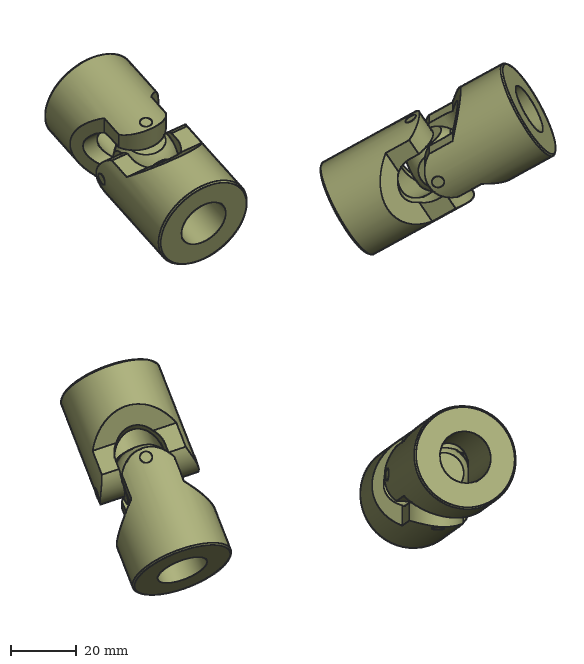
import cadquery as cq
import math

joint_length = 65.0
yoke_diameter = 32.0
yoke_radius = yoke_diameter / 2
end_chamfer = 0.5

bore_diameter = 16.0
bore_radius = bore_diameter / 2

arm_half_width = 8.5
arm_tip_reach = 3.15
arm_tip_radius = 9.6
arm_root_distance = 10.35
left_floor_distance = 15.0
right_floor_distance = 13.0
shoulder_angle = 45.0

ball_radius = 10.0
block_side = bore_diameter
pin_diameter = 3.75
pin_length = yoke_diameter


def arm_blank():
    """Yoke silhouette across the arm width, as a prism along Z."""
    back = -joint_length / 2
    slope_run = (yoke_radius - arm_half_width) / math.tan(math.radians(shoulder_angle))
    shoulder = -arm_root_distance - slope_run
    tip_centre = arm_tip_reach - arm_tip_radius
    tip_start = tip_centre + math.sqrt(arm_tip_radius**2 - arm_half_width**2)
    return (
        cq.Workplane("XY")
        .moveTo(back, -yoke_radius)
        .lineTo(shoulder, -yoke_radius)
        .lineTo(-arm_root_distance, -arm_half_width)
        .lineTo(tip_start, -arm_half_width)
        .threePointArc((arm_tip_reach, 0), (tip_start, arm_half_width))
        .lineTo(-arm_root_distance, arm_half_width)
        .lineTo(shoulder, yoke_radius)
        .lineTo(back, yoke_radius)
        .close()
        .extrude(yoke_radius, both=True)
    )


def fork_gap(floor_distance):
    """Round-bottomed gap between the arms, running right through along Y."""
    gap_centre = -floor_distance + bore_radius
    return (
        cq.Workplane("XZ")
        .moveTo(arm_tip_reach, bore_radius)
        .lineTo(gap_centre, bore_radius)
        .threePointArc((-floor_distance, 0), (gap_centre, -bore_radius))
        .lineTo(arm_tip_reach, -bore_radius)
        .close()
        .extrude(yoke_radius, both=True)
    )


def pin_cylinder(plane):
    """Full-length pin through the origin, normal to the named plane."""
    return cq.Workplane(plane).circle(pin_diameter / 2).extrude(pin_length / 2, both=True)


def make_yoke(floor_distance):
    """Yoke on the -X side, with its two arms above and below the centre piece."""
    bar = (
        cq.Workplane("YZ", origin=(-joint_length / 2, 0, 0))
        .circle(yoke_radius)
        .extrude(joint_length / 2 + arm_tip_reach)
        .faces("<X")
        .chamfer(end_chamfer)
    )
    bore = (
        cq.Workplane("YZ", origin=(-joint_length / 2, 0, 0))
        .circle(bore_radius)
        .extrude(joint_length / 2 - floor_distance + bore_radius)
    )
    return bar.intersect(arm_blank()).cut(fork_gap(floor_distance)).cut(bore).cut(pin_cylinder("XY"))


def make_cross():
    """Flattened ball with a pin along Y and a pin along Z."""
    ball = cq.Workplane("XY").sphere(ball_radius)
    block = cq.Workplane("XY").box(block_side, block_side, block_side)
    return ball.intersect(block).union(pin_cylinder("XZ")).union(pin_cylinder("XY"))


left_yoke = make_yoke(left_floor_distance)
right_yoke = (
    make_yoke(right_floor_distance)
    .rotate((0, 0, 0), (0, 0, 1), 180)
    .rotate((0, 0, 0), (1, 0, 0), 90)
)
cross = make_cross()

bodies = [left_yoke, right_yoke, cross]
result = cq.Compound.makeCompound([body.solids().val() for body in bodies])